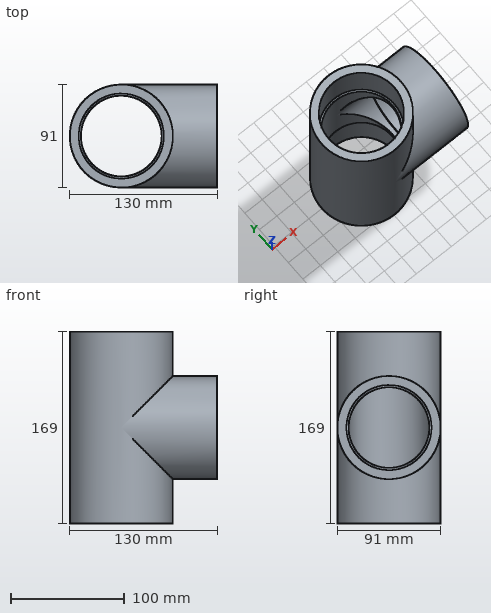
import cadquery as cq

height = 169.0
outer_diameter = 91.0
socket_diameter = 75.0
bore_diameter = 71.0
socket_depth = 44.0

reach = height / 2
stop = reach - socket_depth


def run_cylinder(diameter, bottom, top):
    return cq.Workplane("XY").workplane(offset=bottom).circle(diameter / 2).extrude(top - bottom)


def branch_cylinder(diameter, start, end):
    return cq.Workplane("YZ").workplane(offset=start).circle(diameter / 2).extrude(end - start)


body = run_cylinder(outer_diameter, -reach, reach).union(branch_cylinder(outer_diameter, 0, reach))

body = body.cut(run_cylinder(bore_diameter, -reach, reach))
body = body.cut(branch_cylinder(bore_diameter, 0, reach))

body = body.cut(run_cylinder(socket_diameter, stop, reach))
body = body.cut(run_cylinder(socket_diameter, -reach, -stop))
body = body.cut(branch_cylinder(socket_diameter, stop, reach))

result = body